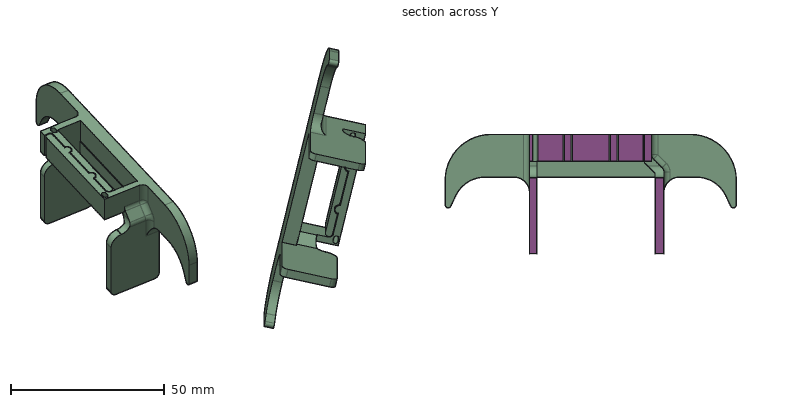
import cadquery as cq
import math

LENGTH = 95.0
DEPTH = 18.5
HEIGHT = 39.0

PLATE_THICKNESS = 3.2
PLATE_HEIGHT = 14.0
WING_DROP = 24.0
WING_OUTER_RADIUS = 15.0
WING_INNER_RADIUS = 10.5
WING_INNER_CENTRE_X = 34.5
WING_TIP_RADIUS = 1.0
LEG_ROOT_RADIUS = 5.0
ROOT_FILLET = 2.0

ARM_OUTER_X = 20.0
WINDOW_HALF_WIDTH = 17.6
FRAME_HEIGHT = 8.85
BACK_THICKNESS = 4.6
BACK_FOOT_THICKNESS = 4.85

LEG_NOTCH_Y = 10.9
LEG_NOTCH_RADIUS = 3.7
LEG_SHOULDER_RADIUS = 4.0
LEG_CORNER_RADIUS = 2.0

RIGHT_ARM_OUTER_X = 19.85
CRANK_SHIFT = 4.0
CRANK_TOP = 6.65
CRANK_BEND_RADIUS = 2.0
RIGHT_LEG_THICKNESS = 2.9
RIGHT_LEG_OUTER_X = RIGHT_ARM_OUTER_X + CRANK_SHIFT
RIGHT_LEG_INNER_X = RIGHT_LEG_OUTER_X - RIGHT_LEG_THICKNESS

REAR_BAR_BACK_Y = 13.4
REAR_BAR_FRONT_Y = 15.78
FRONT_BAR_BACK_Y = 16.05
BAR_GAP = FRONT_BAR_BACK_Y - REAR_BAR_FRONT_Y
BAR_END_CLEARANCE = 0.2
REAR_BAR_SOCKET_RADIUS = 1.45
FRONT_BAR_SOCKET_RADIUS = 0.95
REAR_BAR_ROOT_FILLET = 0.5
END_FLAT = 0.02
BUMP_RADIUS = 1.4
BUMP_X = 7.5

HINGE_SLOT_LENGTH = 2.6
HINGE_SLOT_WIDTH = 1.6
LEFT_HINGE_X = -18.1
RIGHT_HINGE_X = 17.95
LEFT_HINGE_Y = -(REAR_BAR_BACK_Y + REAR_BAR_FRONT_Y) / 2
RIGHT_HINGE_Y = -(FRONT_BAR_BACK_Y + DEPTH) / 2

SIN45 = math.sin(math.radians(45))
MARGIN = 1.0


def box(x_min, x_max, y_min, y_max, z_min, z_max):
    """Axis-aligned box given by its limits."""
    size = (x_max - x_min, y_max - y_min, z_max - z_min)
    return cq.Workplane("XY").box(*size, centered=False).translate((x_min, y_min, z_min))


def polar(centre, radius, angle):
    """Point on a circle at an angle in radians."""
    return (centre[0] + radius * math.cos(angle), centre[1] + radius * math.sin(angle))


def make_slab():
    """Plate before its underside is shaped: two rounded upper corners."""
    slab = box(-LENGTH / 2, LENGTH / 2, -PLATE_THICKNESS, 0, -WING_DROP, 0)
    slab = slab.edges("|Y").edges(">Z").fillet(WING_OUTER_RADIUS)
    below_middle = box(-ARM_OUTER_X, RIGHT_LEG_INNER_X, -DEPTH, 0, -HEIGHT, -PLATE_HEIGHT)
    return slab.cut(below_middle)


def make_leg_side():
    """Leg outline in the YZ plane, notched under the frame, extruded across the whole width."""
    concave_end_y = -(LEG_NOTCH_Y + LEG_NOTCH_RADIUS)
    concave_mid = polar((concave_end_y, LEG_NOTCH_RADIUS - PLATE_HEIGHT), LEG_NOTCH_RADIUS, -math.pi / 4)
    shoulder_centre = (LEG_SHOULDER_RADIUS - DEPTH, -PLATE_HEIGHT - LEG_SHOULDER_RADIUS)
    shoulder_mid = polar(shoulder_centre, LEG_SHOULDER_RADIUS, 3 * math.pi / 4)
    outline = (
        cq.Workplane("YZ")
        .moveTo(0, 0)
        .lineTo(-DEPTH, 0)
        .lineTo(-DEPTH, -FRAME_HEIGHT)
        .lineTo(-LEG_NOTCH_Y, -FRAME_HEIGHT)
        .lineTo(-LEG_NOTCH_Y, LEG_NOTCH_RADIUS - PLATE_HEIGHT)
        .threePointArc(concave_mid, (concave_end_y, -PLATE_HEIGHT))
        .lineTo(shoulder_centre[0], -PLATE_HEIGHT)
        .threePointArc(shoulder_mid, (-DEPTH, shoulder_centre[1]))
        .lineTo(-DEPTH, -HEIGHT)
        .lineTo(0, -HEIGHT)
        .close()
    )
    side = outline.extrude(LENGTH / 2, both=True)
    return side.edges("|X").edges("<Z").fillet(LEG_CORNER_RADIUS)


def make_right_leg():
    """Right arm and leg in the XZ plane: a 45 degree crank shifts the leg outwards."""
    bend_x = RIGHT_ARM_OUTER_X + CRANK_BEND_RADIUS
    upper_centre = (bend_x, -CRANK_TOP)
    lower_bend_x = RIGHT_LEG_OUTER_X - CRANK_BEND_RADIUS
    slope_start = polar(upper_centre, CRANK_BEND_RADIUS, -3 * math.pi / 4)
    slope_end_x = lower_bend_x + CRANK_BEND_RADIUS * SIN45
    slope_end = (slope_end_x, slope_start[1] - (slope_end_x - slope_start[0]))
    lower_centre = (lower_bend_x, slope_end[1] - CRANK_BEND_RADIUS * SIN45)
    inner_slope_sum = sum(slope_start) - RIGHT_LEG_THICKNESS / SIN45
    outline = (
        cq.Workplane("XZ")
        .moveTo(WINDOW_HALF_WIDTH, 0)
        .lineTo(RIGHT_ARM_OUTER_X, 0)
        .lineTo(RIGHT_ARM_OUTER_X, -CRANK_TOP)
        .threePointArc(polar(upper_centre, CRANK_BEND_RADIUS, -7 * math.pi / 8), slope_start)
        .lineTo(*slope_end)
        .threePointArc(
            polar(lower_centre, CRANK_BEND_RADIUS, math.pi / 8), (RIGHT_LEG_OUTER_X, lower_centre[1])
        )
        .lineTo(RIGHT_LEG_OUTER_X, -HEIGHT)
        .lineTo(RIGHT_LEG_INNER_X, -HEIGHT)
        .lineTo(RIGHT_LEG_INNER_X, inner_slope_sum - RIGHT_LEG_INNER_X)
        .lineTo(WINDOW_HALF_WIDTH, inner_slope_sum - WINDOW_HALF_WIDTH)
        .close()
    )
    leg = outline.extrude(DEPTH)
    beside_frame = box(
        RIGHT_ARM_OUTER_X, RIGHT_LEG_OUTER_X, -DEPTH, -LEG_NOTCH_Y, -FRAME_HEIGHT, 0
    )
    return leg.cut(beside_frame)


def make_underside_cutter(leg_x):
    """Space under one wing (built on +X) from the leg face at leg_x round to the wing tip."""
    floor = -HEIGHT - MARGIN
    root_centre = (leg_x + LEG_ROOT_RADIUS, -PLATE_HEIGHT - LEG_ROOT_RADIUS)
    wing_centre = (WING_INNER_CENTRE_X, -PLATE_HEIGHT - WING_INNER_RADIUS)
    tip_centre = (LENGTH / 2 - WING_TIP_RADIUS, WING_TIP_RADIUS - WING_DROP)
    run = tip_centre[0] - wing_centre[0]
    rise = tip_centre[1] - wing_centre[1]
    flank_angle = math.atan2(rise, run) + math.acos(
        (WING_INNER_RADIUS + WING_TIP_RADIUS) / math.hypot(run, rise)
    )
    tip_start_angle = flank_angle - math.pi
    outline = (
        cq.Workplane("XZ")
        .moveTo(leg_x, floor)
        .lineTo(leg_x, root_centre[1])
        .threePointArc(
            polar(root_centre, LEG_ROOT_RADIUS, 3 * math.pi / 4), (root_centre[0], -PLATE_HEIGHT)
        )
        .lineTo(wing_centre[0], -PLATE_HEIGHT)
        .threePointArc(
            polar(wing_centre, WING_INNER_RADIUS, (math.pi / 2 + flank_angle) / 2),
            polar(wing_centre, WING_INNER_RADIUS, flank_angle),
        )
        .lineTo(*polar(tip_centre, WING_TIP_RADIUS, tip_start_angle))
        .threePointArc(
            polar(tip_centre, WING_TIP_RADIUS, tip_start_angle / 2), (LENGTH / 2, tip_centre[1])
        )
        .lineTo(LENGTH / 2 + MARGIN, tip_centre[1])
        .lineTo(LENGTH / 2 + MARGIN, floor)
        .close()
    )
    return outline.extrude(DEPTH)


def make_legs_and_wings():
    """Plate with both legs, the leg-root fillets and the wing undersides."""
    left_leg = box(-ARM_OUTER_X, -WINDOW_HALF_WIDTH, -DEPTH, 0, -HEIGHT, 0)
    body = make_slab().union(left_leg).union(make_right_leg())
    reach = 0.1
    left_root = cq.selectors.BoxSelector(
        (-ARM_OUTER_X - reach, -PLATE_THICKNESS - reach, -WING_DROP),
        (-ARM_OUTER_X + reach, -PLATE_THICKNESS + reach, 0),
    )
    right_root_start = cq.selectors.BoxSelector(
        (RIGHT_ARM_OUTER_X - reach, -PLATE_THICKNESS - reach, -CRANK_TOP),
        (RIGHT_ARM_OUTER_X + reach, -PLATE_THICKNESS + reach, 0),
    )
    body = body.edges(left_root).fillet(ROOT_FILLET)
    body = body.edges(right_root_start).fillet(ROOT_FILLET)
    body = body.cut(make_underside_cutter(RIGHT_LEG_OUTER_X))
    body = body.cut(make_underside_cutter(ARM_OUTER_X).mirror("YZ"))
    return body.intersect(make_leg_side())


def make_frame_back():
    """Thicker plate between the arms with a slightly deeper foot below the frame."""
    half = WINDOW_HALF_WIDTH
    back = box(-half, half, -BACK_THICKNESS, 0, -PLATE_HEIGHT, 0)
    foot = box(-half, RIGHT_LEG_INNER_X, -BACK_FOOT_THICKNESS, 0, -PLATE_HEIGHT, -FRAME_HEIGHT)
    return back.union(foot)


def bump_discs(radius):
    """Upright discs that form the interlocking bumps on the split between the bars."""
    return (
        cq.Workplane("XY")
        .pushPoints([(-BUMP_X, -FRONT_BAR_BACK_Y), (BUMP_X, -FRONT_BAR_BACK_Y)])
        .circle(radius)
        .extrude(-FRAME_HEIGHT)
    )


def make_rear_bar():
    """Bar joined to the left arm, with a round free end and hollows for the bumps."""
    half = WINDOW_HALF_WIDTH
    end_radius = (REAR_BAR_FRONT_Y - REAR_BAR_BACK_Y) / 2 - END_FLAT / 2
    bar = box(-half, half - BAR_END_CLEARANCE, -REAR_BAR_FRONT_Y, -REAR_BAR_BACK_Y, -FRAME_HEIGHT, 0)
    bar = bar.edges("|Z and >X").fillet(end_radius)
    return bar.cut(bump_discs(BUMP_RADIUS + BAR_GAP))


def make_front_bar():
    """Bar joined to the right arm, with a round free end and two bumps."""
    half = WINDOW_HALF_WIDTH
    end_radius = (DEPTH - FRONT_BAR_BACK_Y) / 2 - END_FLAT / 2
    bar = box(BAR_END_CLEARANCE - half, half, -DEPTH, -FRONT_BAR_BACK_Y, -FRAME_HEIGHT, 0)
    bar = bar.edges("|Z and <X").fillet(end_radius)
    return bar.union(bump_discs(BUMP_RADIUS))


def corner_web(corner_x, corner_y, x_side, y_side, radius):
    """Concave fillet filling an inside corner; the sides give the open quadrant."""
    far_x = corner_x + x_side * radius
    far_y = corner_y + y_side * radius
    mid = (far_x - x_side * radius * SIN45, far_y - y_side * radius * SIN45)
    return (
        cq.Workplane("XY")
        .moveTo(corner_x, corner_y)
        .lineTo(far_x, corner_y)
        .threePointArc(mid, (corner_x, far_y))
        .close()
        .extrude(-FRAME_HEIGHT)
    )


def hinge_slot(x, y):
    """Rounded slot through the frame height that thins a bar root into a hinge."""
    return (
        cq.Workplane("XY")
        .center(x, y)
        .slot2D(HINGE_SLOT_LENGTH, HINGE_SLOT_WIDTH)
        .extrude(-FRAME_HEIGHT)
    )


result = make_legs_and_wings().union(make_frame_back())
result = result.union(make_rear_bar()).union(make_front_bar())
result = result.union(corner_web(-WINDOW_HALF_WIDTH, -REAR_BAR_BACK_Y, 1, 1, REAR_BAR_ROOT_FILLET))
result = result.union(corner_web(-WINDOW_HALF_WIDTH, -REAR_BAR_FRONT_Y, 1, -1, FRONT_BAR_SOCKET_RADIUS))
result = result.union(corner_web(WINDOW_HALF_WIDTH, -FRONT_BAR_BACK_Y, -1, 1, REAR_BAR_SOCKET_RADIUS))
result = result.cut(hinge_slot(LEFT_HINGE_X, LEFT_HINGE_Y))
result = result.cut(hinge_slot(RIGHT_HINGE_X, RIGHT_HINGE_Y))